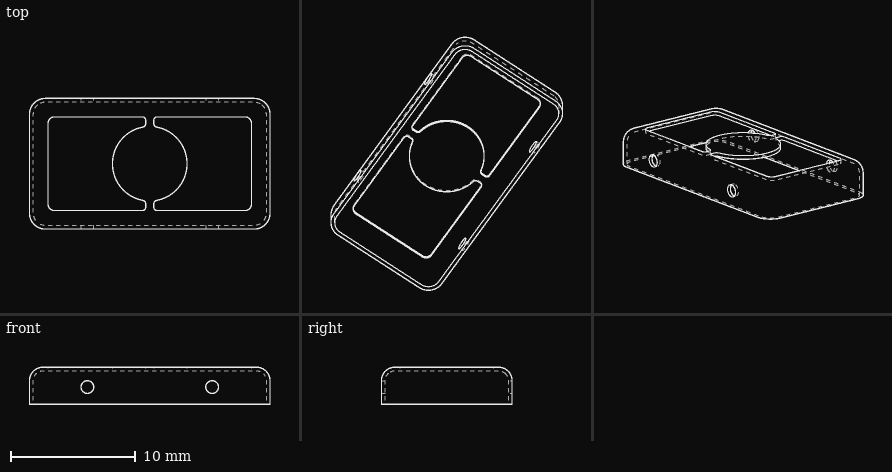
import cadquery as cq

length = 19.3
width = 10.5
height = 3.0
corner_radius = 1.3
top_edge_radius = 1.1

shell_thickness = 0.3

window_margin = 1.5
window_corner_radius = 0.5

disc_diameter = 6.0
neck_width = 0.68
neck_fillet = 0.25

hole_diameter = 1.0
hole_spacing = 10.0
hole_height = 1.39

plate_bottom = height - shell_thickness


def rounded_block(size_x, size_y, size_z, radius):
    """Block standing on Z = 0 with rounded vertical corners."""
    block = cq.Workplane("XY").box(size_x, size_y, size_z, centered=(True, True, False))
    return block.edges("|Z").fillet(radius)


def cover_body(inset):
    """Solid cover with a rolled top edge, drawn inward by the inset on its sides and top."""
    body = rounded_block(length - 2 * inset, width - 2 * inset, height - inset, corner_radius - inset)
    return body.faces(">Z").edges().fillet(top_edge_radius - inset)


def make_shell():
    """Open-bottomed cover of even thickness."""
    return cover_body(0).cut(cover_body(shell_thickness))


def make_window():
    """Window cutter that leaves the disc and its filleted necks standing."""
    window_length = length - 2 * window_margin
    window_width = width - 2 * window_margin
    window = rounded_block(window_length, window_width, shell_thickness, window_corner_radius)
    disc = cq.Workplane("XY").circle(disc_diameter / 2).extrude(shell_thickness)
    necks = cq.Workplane("XY").box(neck_width, window_width, shell_thickness, centered=(True, True, False))
    opening = window.cut(disc.union(necks))
    neck_zone = cq.selectors.BoxSelector(
        (-neck_width, -width, -height), (neck_width, width, height)
    )
    opening = opening.edges("|Z").edges(neck_zone).fillet(neck_fillet)
    return opening.translate((0, 0, plate_bottom))


def make_cross_holes():
    """Holes running along Y through both long walls."""
    return (
        cq.Workplane("XZ", origin=(0, 0, hole_height))
        .rarray(hole_spacing, 0.2, 2, 1)
        .circle(hole_diameter / 2)
        .extrude(width, both=True)
    )


result = make_shell().cut(make_window()).cut(make_cross_holes())